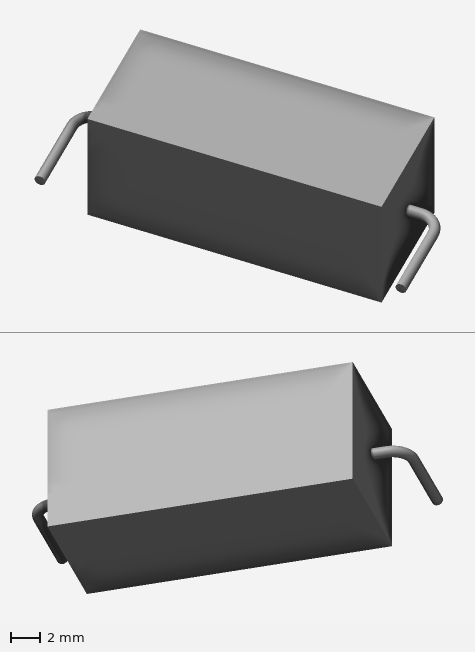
import cadquery as cq

body_length = 22.0
body_width = 9.4
body_height = 9.4

lead_diameter = 0.8
lead_spacing = 27.0
bend_radius = 1.5
lead_reach = 7.2

lead_x = lead_spacing / 2
bend_start_x = lead_x - bend_radius
end_face_x = body_length / 2


def make_body():
    return cq.Workplane("XY").box(body_length, body_width, body_height)


def make_right_lead():
    """Wire leaving the +X end face, turning a quarter bend and running along -Y."""
    path = (
        cq.Workplane("XY")
        .moveTo(end_face_x, 0)
        .lineTo(bend_start_x, 0)
        .radiusArc((lead_x, -bend_radius), bend_radius)
        .lineTo(lead_x, -lead_reach)
    )
    section = cq.Workplane("YZ", origin=(end_face_x, 0, 0)).circle(lead_diameter / 2)
    return section.sweep(path)


right_lead = make_right_lead()
left_lead = right_lead.mirror("YZ")
result = make_body().union(right_lead).union(left_lead)